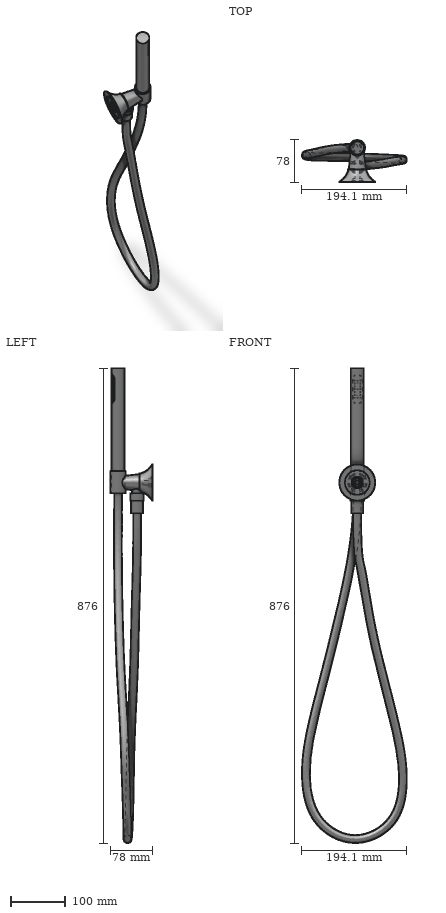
import cadquery as cq

OVERALL_HEIGHT = 876.0
OVERALL_DEPTH = 78.0
TOP = 211.0
BOTTOM = TOP - OVERALL_HEIGHT

UPRIGHT = 90
HALF_TURN = 180
FULL_TURN = 360

WAND_RADIUS = 24.5 / 2

SPRAY_CENTER_Z = TOP - 38.5
SPRAY_LENGTH = 54.0
SPRAY_WIDTH = 19.0
SPRAY_LINE = 1.0
SPRAY_DEPTH = 1.0
NOZZLE_ROWS = 7
NOZZLE_COLUMNS = 3
NOZZLE_PITCH = 5.0
NOZZLE_RADIUS = 1.0

SLEEVE_RADIUS = 29.0 / 2
SLEEVE_TOP = 22.0
SLEEVE_BOTTOM = -20.0
SLEEVE_CHAMFER = 1.3

ARM_ROOT_RADIUS = 11.0
ARM_END_RADIUS = 16.0
RING_RADIUS = 17.5
RING_START_Y = -39.0
RING_END_Y = RING_START_Y - 1.0
BELL_START_RADIUS = 17.0
BELL_MID_Y = -54.0
BELL_MID_RADIUS = 24.0
RIM_RADIUS = 33.0
RIM_THICKNESS = 1.0
WALL_Y = SLEEVE_RADIUS - OVERALL_DEPTH

FACE_RECESS_RADIUS = 23.0
FACE_RECESS_DEPTH = 2.0
BORE_STEPS = [(10.5, 3.5), (8.0, 7.0), (4.0, 17.5)]

OUTLET_Y = -35.0
NECK_RADIUS = 10.0
COLLAR_RADIUS = 25.0 / 2
COLLAR_TOP = -20.0
COLLAR_BOTTOM = -33.0

NUT_RADIUS = 11.0
NUT_BOTTOM = -57.0
HOSE_RADIUS = 15.0 / 2
HOSE_LOW_Z = BOTTOM + HOSE_RADIUS
HOSE_PATH = [
    (0.0, 0.0, SLEEVE_BOTTOM),
    (-15.0, 0.0, -164.0),
    (-36.0, -2.0, -258.0),
    (-59.5, -5.0, -354.0),
    (-83.0, -10.5, -448.0),
    (-95.0, -14.0, -543.0),
    (-71.0, -17.0, -623.0),
    (-5.0, -17.5, HOSE_LOW_Z),
    (64.0, -20.0, -623.0),
    (84.0, -22.0, -543.0),
    (70.0, -24.5, -448.0),
    (46.0, -29.0, -354.0),
    (24.5, -31.5, -258.0),
    (8.0, -34.0, -164.0),
    (0.0, OUTLET_Y, NUT_BOTTOM),
]


def upright_cylinder(radius, y, z_low, z_high):
    return cq.Workplane("XY", origin=(0, y, z_low)).circle(radius).extrude(z_high - z_low)


def spray_plane():
    """Upright plane through the wand axis that faces +Y, level with the spray field."""
    return cq.Workplane("XZ", origin=(0, 0, SPRAY_CENTER_Z)).transformed(rotate=(0, HALF_TURN, 0))


def spray_slot(length, width):
    """Prism with an upright round-ended outline, from the wand axis out past its +Y side."""
    return spray_plane().slot2D(length, width, UPRIGHT).extrude(2 * WAND_RADIUS)


def make_wand():
    wand = upright_cylinder(WAND_RADIUS, 0, SLEEVE_BOTTOM, TOP)
    core = upright_cylinder(WAND_RADIUS - SPRAY_DEPTH, 0, SLEEVE_BOTTOM, TOP)
    outline = spray_slot(SPRAY_LENGTH, SPRAY_WIDTH)
    inside = spray_slot(SPRAY_LENGTH - 2 * SPRAY_LINE, SPRAY_WIDTH - 2 * SPRAY_LINE)
    groove = outline.cut(inside).cut(core)
    nozzles = (
        spray_plane()
        .rarray(NOZZLE_PITCH, NOZZLE_PITCH, NOZZLE_COLUMNS, NOZZLE_ROWS)
        .circle(NOZZLE_RADIUS)
        .extrude(2 * WAND_RADIUS)
        .cut(core)
    )
    return wand.cut(groove).cut(nozzles)


def make_flanged_arm():
    """Arm, ring and bell-shaped flange as one turned shape."""
    return (
        cq.Workplane("XY")
        .moveTo(0, 0)
        .lineTo(ARM_ROOT_RADIUS, 0)
        .lineTo(ARM_END_RADIUS, RING_START_Y)
        .lineTo(RING_RADIUS, RING_START_Y)
        .lineTo(RING_RADIUS, RING_END_Y)
        .lineTo(BELL_START_RADIUS, RING_END_Y)
        .threePointArc((BELL_MID_RADIUS, BELL_MID_Y), (RIM_RADIUS, WALL_Y + RIM_THICKNESS))
        .lineTo(RIM_RADIUS, WALL_Y)
        .lineTo(0, WALL_Y)
        .close()
        .revolve(FULL_TURN, (0, 0, 0), (0, 1, 0))
    )


def wall_face_hole(radius, depth):
    return cq.Workplane("XZ", origin=(0, WALL_Y + depth, 0)).circle(radius).extrude(depth)


def make_holder():
    sleeve = upright_cylinder(SLEEVE_RADIUS, 0, SLEEVE_BOTTOM, SLEEVE_TOP)
    sleeve = sleeve.faces(">Z").chamfer(SLEEVE_CHAMFER)
    neck = upright_cylinder(NECK_RADIUS, OUTLET_Y, COLLAR_TOP, 0)
    collar = upright_cylinder(COLLAR_RADIUS, OUTLET_Y, COLLAR_BOTTOM, COLLAR_TOP)
    wand_hole = upright_cylinder(WAND_RADIUS, 0, SLEEVE_BOTTOM, SLEEVE_TOP)
    holder = (
        sleeve.union(make_flanged_arm())
        .union(neck)
        .union(collar)
        .cut(wand_hole)
        .cut(wall_face_hole(FACE_RECESS_RADIUS, FACE_RECESS_DEPTH))
    )
    for radius, depth in BORE_STEPS:
        holder = holder.cut(wall_face_hole(radius, depth))
    return holder


def make_hose():
    down = cq.Vector(0, 0, -1)
    up = cq.Vector(0, 0, 1)
    points = [cq.Vector(*point) for point in HOSE_PATH]
    path = cq.Workplane("XY").spline(points, tangents=[down, up])
    tube = cq.Workplane("XY", origin=HOSE_PATH[0]).circle(HOSE_RADIUS).sweep(path)
    nut = upright_cylinder(NUT_RADIUS, OUTLET_Y, NUT_BOTTOM, COLLAR_BOTTOM)
    return tube.union(nut)


wand = make_wand()
holder = make_holder()
hose = make_hose()
result = cq.Compound.makeCompound([wand.val(), holder.val(), hose.val()])